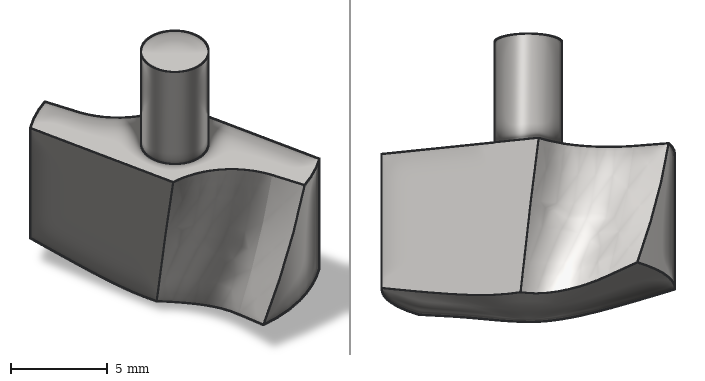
import cadquery as cq
import math

shank_diameter = 3.5
shank_length = 6.0

head_diameter = 15.17
head_radius = head_diameter / 2
head_thickness = 5.67
head_height = 8.8
point_angle = 12.0
point_height = head_radius * math.tan(math.radians(point_angle))

flute_radius = 4.64
face_angle = 4.8
face_start_x = 5.7
face_start_y = 0.38
flute_mouth_x = 1.67
flute_twist = 30.7
outside_reach = 9.86


def make_head():
    """Cylinder with a conical point, trimmed to two flat sides."""
    round_head = (
        cq.Workplane("XZ")
        .moveTo(0, 0)
        .lineTo(head_radius, point_height)
        .lineTo(head_radius, head_height)
        .lineTo(0, head_height)
        .close()
        .revolve(360, (0, 0, 0), (0, 1, 0))
    )
    slab = cq.Workplane("XY").box(
        head_diameter, head_thickness, head_height, centered=(True, True, False)
    )
    return round_head.intersect(slab)


def make_flute_cutter():
    """Flute section swept upward along the helix, ending in its top position."""
    slope = math.radians(face_angle)
    arc_x = face_start_x + flute_radius * math.sin(slope)
    arc_y = face_start_y - flute_radius * math.cos(slope)
    mouth_y = -head_thickness / 2
    mouth_angle = math.atan2(mouth_y - arc_y, flute_mouth_x - arc_x)
    middle_angle = (mouth_angle + math.pi / 2 + slope) / 2
    arc_middle = (
        arc_x + flute_radius * math.cos(middle_angle),
        arc_y + flute_radius * math.sin(middle_angle),
    )
    face_end_y = face_start_y + (outside_reach - face_start_x) * math.tan(slope)
    return (
        cq.Workplane("XY")
        .moveTo(flute_mouth_x, mouth_y)
        .threePointArc(arc_middle, (face_start_x, face_start_y))
        .lineTo(outside_reach, face_end_y)
        .lineTo(outside_reach, -outside_reach)
        .lineTo(flute_mouth_x, -outside_reach)
        .close()
        .twistExtrude(head_height, flute_twist)
        .rotate((0, 0, 0), (0, 0, 1), -flute_twist)
    )


head = make_head()
flute_cutter = make_flute_cutter()
for turn in (0, 180):
    head = head.cut(flute_cutter.rotate((0, 0, 0), (0, 0, 1), turn))

shank = (
    cq.Workplane("XY")
    .workplane(offset=head_height)
    .circle(shank_diameter / 2)
    .extrude(shank_length)
)
result = head.union(shank)